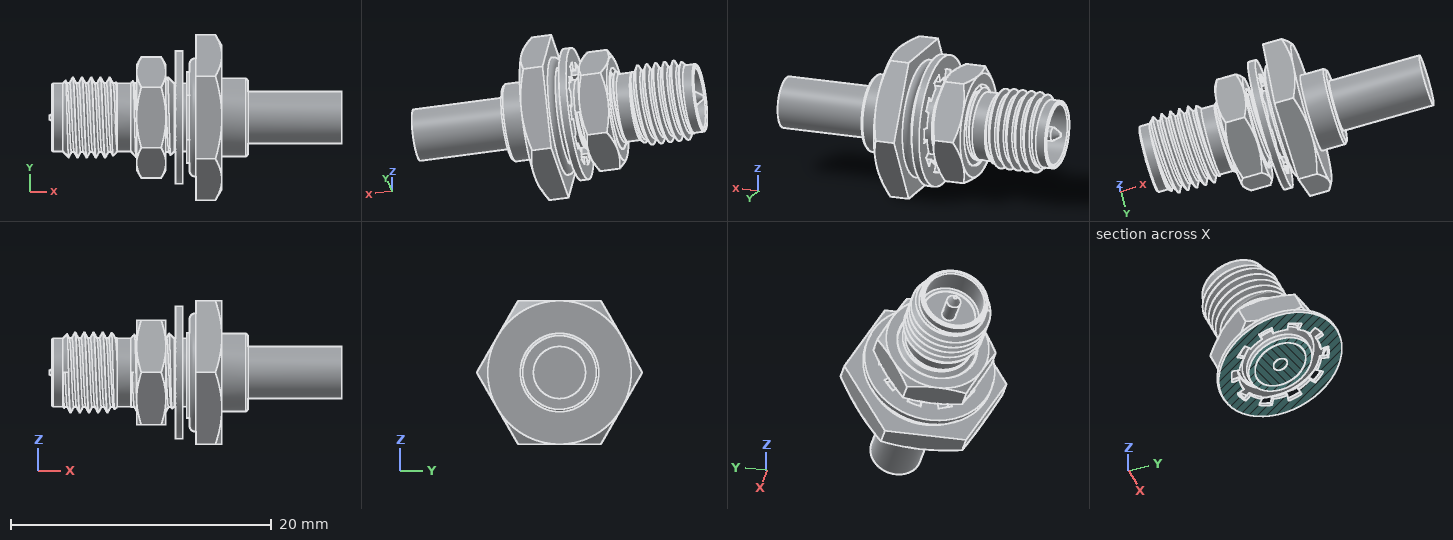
import cadquery as cq
import math

OVERALL_LENGTH = 22.45

BARREL_START = 0.22
BARREL_RADIUS = 2.63
MOUTH_CHAMFER = 0.1
BORE_RADIUS = 2.33
BORE_END = 2.42
BORE_CHAMFER = 0.11
THREAD_RADIUS = 3.1
THREAD_PITCH = 0.705
CREST_WIDTH = 0.02
GROOVE_ROOT_RADIUS = 2.65
GROOVE_ROOT_WIDTH = 0.2
GROOVE_OVERCUT = 0.11
CUT_TOLERANCE = 0.001
FRONT_THREAD = (1.05, 5.23, 1.12, 6)
REAR_THREAD = (6.26, 9.59, 6.26, 4.4)

FLANGE_START = 11.25
FLANGE_END = 13.25
FLANGE_ACROSS_FLATS = 11.0
HEX_CHAMFER_ANGLE = 30.0
LOCATING_COLLAR_START = 10.55
LOCATING_COLLAR_RADIUS = 3.5
LOCATING_FLAT_Z = 3.05
REAR_COLLAR_END = 15.27
REAR_COLLAR_RADIUS = 3.0
REAR_COLLAR_CHAMFER = 0.18
TAIL_RADIUS = 2.0

INSULATOR_START = 2.51
INSULATOR_END = FLANGE_START
INSULATOR_RADIUS = 2.07
PIN_TIP_RADIUS = 0.13
PIN_RADIUS = 0.55
PIN_CONE_LENGTH = 0.63

NUT_START = 6.71
NUT_END = 8.95
NUT_ACROSS_FLATS = 8.04
NUT_BORE_RADIUS = 3.15

WASHER_START = 9.68
WASHER_END = 10.25
WASHER_RADIUS = 5.1
WASHER_TOOTH_RADIUS = 3.4
WASHER_SLOT_RADIUS = 4.0
WASHER_TOOTH_COUNT = 10
WASHER_SLOT_ANGLE = 16.0

RING_TUBE_RADIUS = 0.5
RING_CENTRE_RADIUS = 4.06


def revolved(points):
    """Solid turned about the X axis from (x, radius) points."""
    return cq.Workplane("XY").polyline(points).close().revolve(360, (0, 0, 0), (1, 0, 0))


def cylinder(start, end, radius):
    """Cylinder along the X axis from start to end."""
    return cq.Workplane("YZ", origin=(start, 0, 0)).circle(radius).extrude(end - start)


def hexagon(start, end, across_flats, chamfer_front):
    """Hexagonal prism with flats on +Z and -Z, its corners chamfered at the rear and maybe the front."""
    flat_radius = across_flats / 2
    corner_radius = flat_radius / math.cos(math.radians(30))
    chamfer = (corner_radius - flat_radius) * math.tan(math.radians(HEX_CHAMFER_ANGLE))
    prism = cq.Workplane("YZ", origin=(start, 0, 0)).polygon(6, 2 * corner_radius).extrude(end - start)
    if chamfer_front:
        front = [(start, flat_radius), (start + chamfer, corner_radius)]
    else:
        front = [(start, corner_radius)]
    rear = [(end - chamfer, corner_radius), (end, flat_radius)]
    return prism.intersect(revolved([(start, 0), *front, *rear, (end, 0)]))


def torus():
    """Full ring centred on the front face of the flange."""
    return (
        cq.Workplane("XY")
        .center(FLANGE_START, RING_CENTRE_RADIUS)
        .circle(RING_TUBE_RADIUS)
        .revolve(360, (0, -RING_CENTRE_RADIUS, 0), (1, -RING_CENTRE_RADIUS, 0))
    )


def thread_blank(start, end):
    """Cylinder at the crest radius with a 45 degree run-out at each end."""
    depth = THREAD_RADIUS - BARREL_RADIUS
    return revolved([
        (start, 0),
        (start, BARREL_RADIUS),
        (start + depth, THREAD_RADIUS),
        (end - depth, THREAD_RADIUS),
        (end, BARREL_RADIUS),
        (end, 0),
    ])


def thread_groove(start, turns):
    """Right-handed helical groove that begins on the -Y side."""
    root_half_width = GROOVE_ROOT_WIDTH / 2
    top_half_width = (THREAD_PITCH - CREST_WIDTH) / 2
    outside = THREAD_RADIUS + GROOVE_OVERCUT
    path = cq.Wire.makeHelix(THREAD_PITCH, turns * THREAD_PITCH, GROOVE_ROOT_RADIUS)
    groove = (
        cq.Workplane("XZ")
        .polyline([
            (GROOVE_ROOT_RADIUS, -root_half_width),
            (THREAD_RADIUS, -top_half_width),
            (outside, -top_half_width),
            (outside, top_half_width),
            (THREAD_RADIUS, top_half_width),
            (GROOVE_ROOT_RADIUS, root_half_width),
        ])
        .close()
        .sweep(path, isFrenet=True)
    )
    groove = groove.rotate((0, 0, 0), (0, 1, 0), 90).rotate((0, 0, 0), (1, 0, 0), -90)
    return groove.translate((start, 0, 0))


def threaded_zone(start, end, groove_start, groove_turns):
    """Barrel zone with its thread cut into it."""
    return thread_blank(start, end).cut(thread_groove(groove_start, groove_turns), tol=CUT_TOLERANCE)


def make_housing():
    barrel = cylinder(BARREL_START, FLANGE_START, BARREL_RADIUS).faces("<X").chamfer(MOUTH_CHAMFER)
    for thread in (FRONT_THREAD, REAR_THREAD):
        barrel = barrel.union(threaded_zone(*thread))

    flat_cut = cq.Workplane("XY").box(
        FLANGE_START - LOCATING_COLLAR_START,
        2 * LOCATING_COLLAR_RADIUS,
        LOCATING_COLLAR_RADIUS,
        centered=(False, True, False),
    ).translate((LOCATING_COLLAR_START, 0, LOCATING_FLAT_Z))
    locating_collar = cylinder(LOCATING_COLLAR_START, FLANGE_START, LOCATING_COLLAR_RADIUS).cut(flat_cut)

    flange = hexagon(FLANGE_START, FLANGE_END, FLANGE_ACROSS_FLATS, chamfer_front=False)
    rear_collar = cylinder(FLANGE_END, REAR_COLLAR_END, REAR_COLLAR_RADIUS)
    rear_collar = rear_collar.faces(">X").chamfer(REAR_COLLAR_CHAMFER)
    tail = cylinder(REAR_COLLAR_END, OVERALL_LENGTH, TAIL_RADIUS)
    housing = barrel.union(locating_collar).union(flange).union(rear_collar).union(tail)

    bore = revolved([
        (BARREL_START, 0),
        (BARREL_START, BORE_RADIUS + BORE_CHAMFER),
        (BARREL_START + BORE_CHAMFER, BORE_RADIUS),
        (BORE_END, BORE_RADIUS),
        (BORE_END, 0),
    ])
    insulator_seat = cylinder(BORE_END, INSULATOR_END, INSULATOR_RADIUS)
    return housing.cut(bore).cut(insulator_seat).cut(torus())


def make_insulator():
    pin_hole = cylinder(INSULATOR_START, INSULATOR_END, PIN_RADIUS)
    return cylinder(INSULATOR_START, INSULATOR_END, INSULATOR_RADIUS).cut(pin_hole)


def make_pin():
    return revolved([
        (0, 0),
        (0, PIN_TIP_RADIUS),
        (PIN_CONE_LENGTH, PIN_RADIUS),
        (INSULATOR_END, PIN_RADIUS),
        (INSULATOR_END, 0),
    ])


def make_nut():
    blank = hexagon(NUT_START, NUT_END, NUT_ACROSS_FLATS, chamfer_front=True)
    return blank.cut(cylinder(NUT_START, NUT_END, NUT_BORE_RADIUS))


def make_lock_washer():
    """Flat washer whose inner edge is divided into teeth by radial slots, the first one at +Y."""
    washer = cylinder(WASHER_START, WASHER_END, WASHER_RADIUS)
    washer = washer.cut(cylinder(WASHER_START, WASHER_END, WASHER_TOOTH_RADIUS))
    half_angle = math.radians(WASHER_SLOT_ANGLE / 2)
    reach = WASHER_SLOT_RADIUS * math.cos(half_angle)
    half_width = WASHER_SLOT_RADIUS * math.sin(half_angle)
    slot = (
        cq.Workplane("YZ", origin=(WASHER_START, 0, 0))
        .lineTo(reach, -half_width)
        .threePointArc((WASHER_SLOT_RADIUS, 0), (reach, half_width))
        .close()
        .extrude(WASHER_END - WASHER_START)
    )
    for index in range(WASHER_TOOTH_COUNT):
        angle = index * 360 / WASHER_TOOTH_COUNT
        washer = washer.cut(slot.rotate((0, 0, 0), (1, 0, 0), angle))
    return washer


housing = make_housing()
insulator = make_insulator()
pin = make_pin()
nut = make_nut()
lock_washer = make_lock_washer()
o_ring = torus()

result = cq.Compound.makeCompound([
    housing.val(),
    insulator.val(),
    pin.val(),
    nut.val(),
    lock_washer.val(),
    o_ring.val(),
])